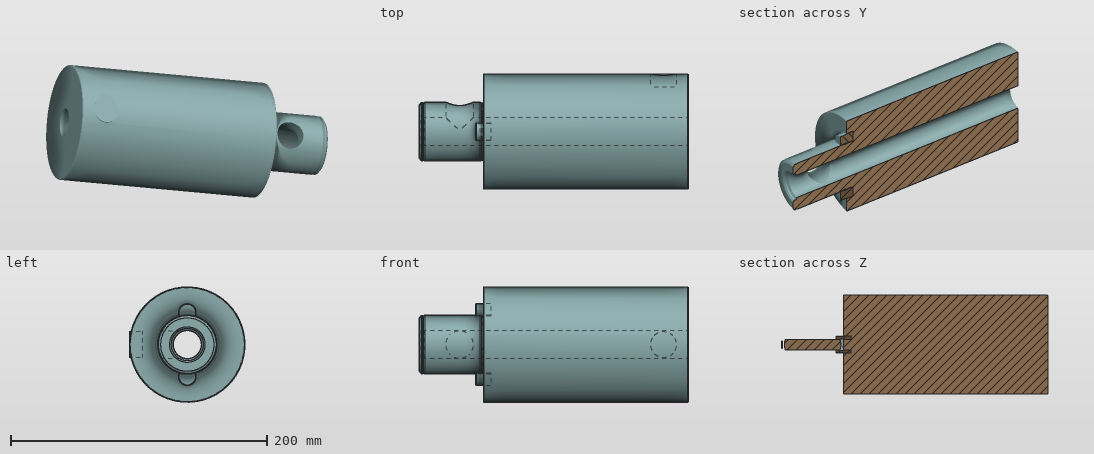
import cadquery as cq
import math

total_length = 210.0
spigot_length = 50.0
housing_radius = 90.0 / 2
shoulder_edge_chamfer = 0.5
end_chamfer = 0.6

spigot_radius = 23.0
tip_face_radius = 20.8
lip_radius = 22.9
lip_start = 1.7
lip_end = 2.5
ring_groove_radius = 22.5
ring_groove_start = 3.0
ring_groove_end = 3.4
guide_start = 4.6

undercut_radius = 22.5
undercut_start = 47.5
undercut_floor_start = 48.7
undercut_floor_end = 49.4
undercut_corner_radius = 0.8
undercut_mouth_radius = 24.8

bore_radius = 11.0
mouth_radius = 12.5
mouth_chamfer = 1.3
mouth_depth = 2.5
mouth_cone_length = 1.0

cross_hole_radius = 10.7
cross_hole_x = 31.5

pin_radius = 7.0
pin_offset = 25.0
pin_height = 5.9
pin_seat_depth = pin_height
pin_chamfer = 0.5

plug_radius = 10.0
plug_x = 190.7
plug_depth = plug_radius


def side_cylinder(x, radius, y_start, y_end):
    """Cylinder parallel to Y, centred at the given x."""
    start = cq.Vector(x, y_start, 0)
    return cq.Workplane(cq.Solid.makeCylinder(radius, y_end - y_start, start, cq.Vector(0, 1, 0)))


def make_turned_body():
    """Revolved housing with its spigot, undercut and stepped bore."""
    corner_center_x = undercut_floor_end
    corner_center_r = undercut_radius + undercut_corner_radius
    corner_reach = undercut_corner_radius * math.sqrt(0.5)
    profile = (
        cq.Workplane("XY")
        .moveTo(0, mouth_radius + mouth_chamfer)
        .lineTo(0, tip_face_radius)
        .lineTo(lip_start, lip_radius)
        .lineTo(lip_end, lip_radius)
        .lineTo(ring_groove_start, ring_groove_radius)
        .lineTo(ring_groove_end, ring_groove_radius)
        .lineTo(guide_start, spigot_radius)
        .lineTo(undercut_start, spigot_radius)
        .lineTo(undercut_floor_start, undercut_radius)
        .lineTo(undercut_floor_end, undercut_radius)
        .threePointArc(
            (corner_center_x + corner_reach, corner_center_r - corner_reach),
            (corner_center_x + undercut_corner_radius, corner_center_r),
        )
        .lineTo(spigot_length, undercut_mouth_radius)
        .lineTo(spigot_length, housing_radius - shoulder_edge_chamfer)
        .lineTo(spigot_length + shoulder_edge_chamfer, housing_radius)
        .lineTo(total_length - end_chamfer, housing_radius)
        .lineTo(total_length, housing_radius - end_chamfer)
        .lineTo(total_length, bore_radius)
        .lineTo(mouth_depth + mouth_cone_length, bore_radius)
        .lineTo(mouth_depth, mouth_radius)
        .lineTo(mouth_chamfer, mouth_radius)
        .close()
    )
    return profile.revolve(360, (0, 0, 0), (1, 0, 0))


def make_pin(side):
    """Drive pin trimmed to the spigot surface; side is +1 above the spigot and -1 below it."""
    pin = (
        cq.Workplane("YZ", origin=(spigot_length - pin_height, 0, 0))
        .center(0, side * pin_offset)
        .circle(pin_radius)
        .extrude(pin_height + pin_seat_depth)
        .faces("<X")
        .chamfer(pin_chamfer)
    )
    spigot_core = cq.Workplane("YZ").circle(spigot_radius).extrude(total_length)
    return pin.cut(spigot_core)


def make_plug():
    """Flat plug whose outer face touches the crest of the housing."""
    return side_cylinder(plug_x, plug_radius, housing_radius - plug_depth, housing_radius)


def make_housing(inserts):
    """Turned body with the cross hole and a matching seat for every insert."""
    body = make_turned_body().cut(side_cylinder(cross_hole_x, cross_hole_radius, 0, spigot_radius))
    for insert in inserts:
        body = body.cut(insert)
    return body


pins = [make_pin(side) for side in (1, -1)]
plug = make_plug()
housing = make_housing([*pins, plug])

result = cq.Compound.makeCompound([housing.val(), *[pin.val() for pin in pins], plug.val()])